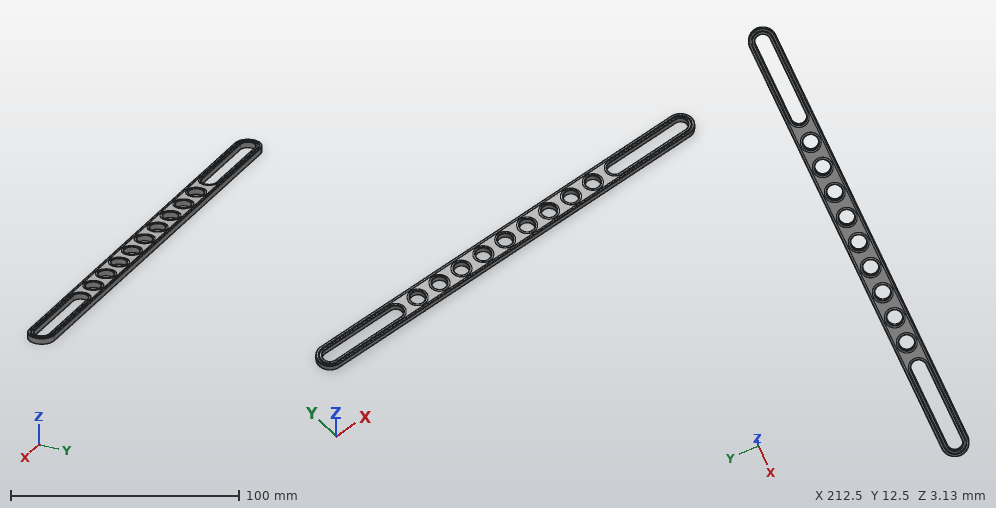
import cadquery as cq
pitch = 12.5
bar_pitches = 17
hole_count = 9
hole_diameter = 7.0
rim_diameter = 9.2
edge_chamfer = 0.3
pocket_depth = 0.2

thickness = pitch / 4
bar_length = bar_pitches * pitch
rim_width = (rim_diameter - hole_diameter) / 2

slot_inner_x = (hole_count + 1) / 2 * pitch
slot_outer_x = (bar_length - pitch) / 2
slot_center_x = (slot_inner_x + slot_outer_x) / 2
slot_travel = slot_outer_x - slot_inner_x


def obround(length, width, bottom, height):
    """Round-ended flat prism centred on the Z axis."""
    return cq.Workplane("XY").workplane(offset=bottom).slot2D(length, width).extrude(height)


def openings(diameter, bottom, height):
    """Prisms over the row of holes and both end slots, all of one width."""
    plane = cq.Workplane("XY").workplane(offset=bottom)
    prisms = plane.rarray(pitch, 1, hole_count, 1).circle(diameter / 2).extrude(height)
    slot = obround(slot_travel + diameter, diameter, bottom, height)
    for side in (-1, 1):
        prisms = prisms.union(slot.translate((side * slot_center_x, 0, 0)))
    return prisms


def make_blank():
    """Pierced bar with every edge of both faces chamfered."""
    bar = obround(bar_length, pitch, 0, thickness)
    bar = bar.cut(openings(hole_diameter, 0, thickness))
    return bar.faces("<Z or >Z").edges().chamfer(edge_chamfer)


def make_pocket(bottom):
    """Shallow recess that leaves raised rims along the outline and the openings."""
    pocket = obround(bar_length - 2 * rim_width, pitch - 2 * rim_width, bottom, pocket_depth)
    return pocket.cut(openings(rim_diameter, bottom, pocket_depth))


result = make_blank()
for pocket_bottom in (0, thickness - pocket_depth):
    result = result.cut(make_pocket(pocket_bottom))